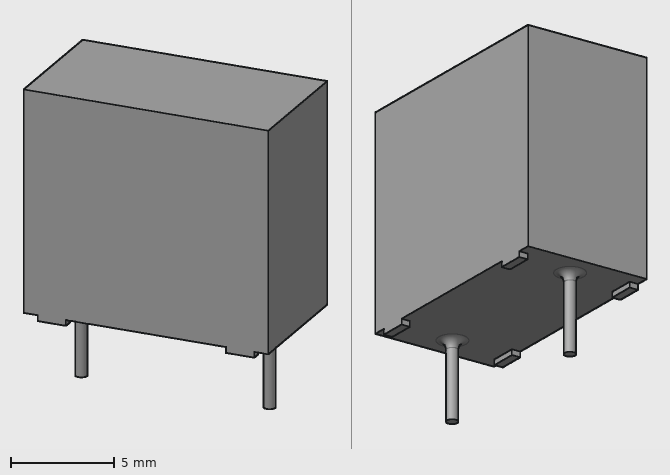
import cadquery as cq
import math

body_length = 13.0
body_width = 7.0
total_height = 16.0
body_height = 11.7
foot_height = 0.3
foot_length = 1.5
foot_width = 0.5
pin_diameter = 0.6
pin_pitch = 10.0
flare_radius = 0.5

pin_radius = pin_diameter / 2
pin_length = total_height - body_height
pin_positions = (-pin_pitch / 2, pin_pitch / 2)


def make_body():
    """Rectangular case with its underside at Z = 0."""
    return cq.Workplane("XY").box(body_length, body_width, body_height, centered=(True, True, False))


def make_foot(x, side):
    """Standoff pad flush with the front (side = -1) or back (side = 1) wall."""
    y = side * (body_width - foot_width) / 2
    return cq.Workplane("XY").center(x, y).rect(foot_length, foot_width).extrude(-foot_height)


def make_pin(x):
    """Round lead with a concave quarter-round flare where it leaves the case."""
    flare_base_radius = pin_radius + flare_radius
    arc_offset = flare_radius * math.cos(math.radians(45))
    arc_middle = (flare_base_radius - arc_offset, arc_offset - flare_radius)
    profile = (
        cq.Workplane("XZ")
        .lineTo(flare_base_radius, 0)
        .threePointArc(arc_middle, (pin_radius, -flare_radius))
        .lineTo(pin_radius, -pin_length)
        .lineTo(0, -pin_length)
        .close()
    )
    return profile.revolve(360, (0, 0, 0), (0, 1, 0)).translate((x, 0, 0))


result = make_body()
for pin_x in pin_positions:
    result = result.union(make_pin(pin_x))
    for wall_side in (-1, 1):
        result = result.union(make_foot(pin_x, wall_side))